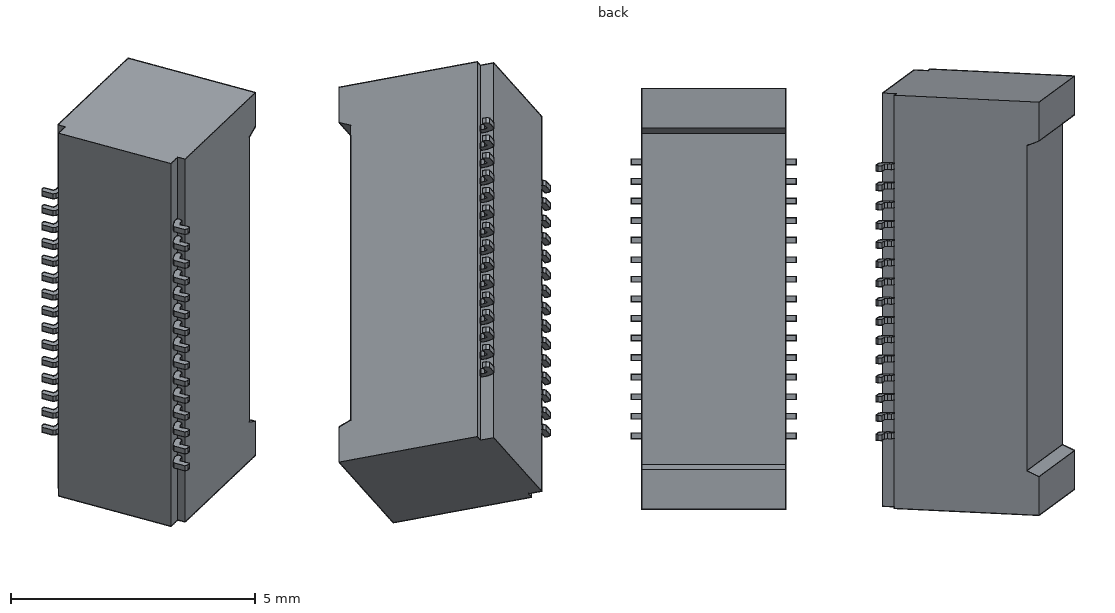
import cadquery as cq

height = 8.6
body_width = 2.95
overall_depth = 3.4
foot_drop = 0.05
body_half_width = body_width / 2

rebate_width = 0.17
rebate_depth = 0.29

recess_depth = 0.26
end_block_tip_height = 0.81
end_block_root_height = 0.92

lead_count = 15
lead_row_length = 5.6
lead_pitch = lead_row_length / (lead_count - 1)
lead_width = 0.12
lead_thickness = 0.14
lead_span = 3.38
lead_top_gap = 0.03
wall_embed = 0.04

shoulder_run = 0.05
shoulder_rise = 0.04
ankle_run = 0.03
ankle_rise = 0.06
heel_run = 0.05
heel_rise = 0.04
heel_gap = 0.05
tip_run = 0.035
tip_rise = 0.06

back_y = overall_depth / 2
foot_y = -back_y
front_y = foot_y + foot_drop
rebate_y = front_y + rebate_depth
wall_x = body_half_width - rebate_width


def housing():
    """Block with two front rebates and a recess across the back."""
    recess_y = back_y - recess_depth
    end_z = height / 2
    tip_z = end_z - end_block_tip_height
    root_z = end_z - end_block_root_height

    side_outline = (
        cq.Workplane("YZ")
        .moveTo(front_y, -end_z)
        .lineTo(back_y, -end_z)
        .lineTo(back_y, -tip_z)
        .lineTo(recess_y, -root_z)
        .lineTo(recess_y, root_z)
        .lineTo(back_y, tip_z)
        .lineTo(back_y, end_z)
        .lineTo(front_y, end_z)
        .close()
    )
    block = side_outline.extrude(body_half_width, both=True)

    rebate = (
        cq.Workplane("XY")
        .box(rebate_width, rebate_depth, height, centered=(False, False, True))
        .translate((wall_x, front_y, 0))
    )
    return block.cut(rebate).cut(rebate.mirror("YZ"))


def lead():
    """Lead on the +X side: a leg flat on the rebate wall, bent out into a foot."""
    leg_x = wall_x + lead_thickness
    tip_x = lead_span / 2
    top_y = rebate_y - lead_top_gap
    foot_top_y = foot_y + lead_thickness
    heel_x = wall_x + heel_gap
    heel_top_y = foot_y + heel_rise
    wall_contact_y = foot_top_y + ankle_rise

    profile = (
        cq.Workplane("XY")
        .moveTo(wall_x - wall_embed, top_y)
        .lineTo(leg_x - shoulder_run, top_y)
        .lineTo(leg_x, top_y - shoulder_rise)
        .lineTo(leg_x, foot_top_y + ankle_rise)
        .lineTo(leg_x + ankle_run, foot_top_y)
        .lineTo(tip_x, foot_top_y)
        .lineTo(tip_x, foot_y + tip_rise)
        .lineTo(tip_x - tip_run, foot_y)
        .lineTo(heel_x + heel_run, foot_y)
        .lineTo(heel_x, heel_top_y)
        .lineTo(wall_x, wall_contact_y)
        .lineTo(wall_x - wall_embed, wall_contact_y)
        .close()
    )
    return profile.extrude(lead_width / 2, both=True)


right_lead = lead()
left_lead = right_lead.mirror("YZ")

result = housing()
for index in range(lead_count):
    lead_z = index * lead_pitch - lead_row_length / 2
    result = result.union(right_lead.translate((0, 0, lead_z)))
    result = result.union(left_lead.translate((0, 0, lead_z)))